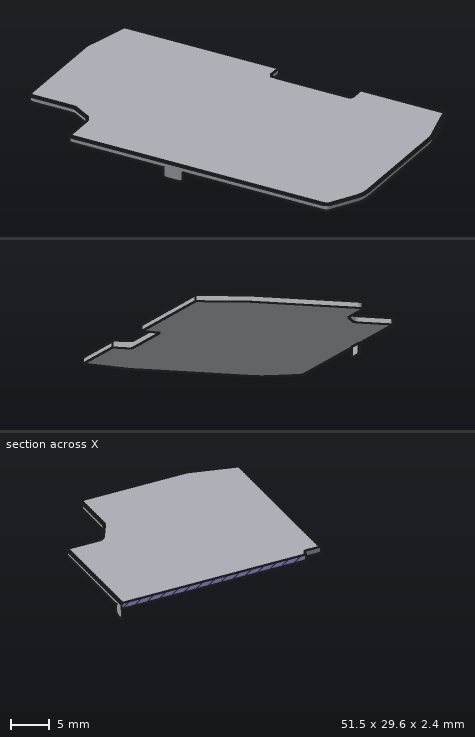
import cadquery as cq
import math

length = 51.45
width = 29.6
thickness = 1.0
total_height = 2.4
rim_chamfer = 0.15

taper_inset = 1.8
taper_height = 6.9

notch_left = 24.9
notch_right = 37.1
notch_depth = 2.6
notch_radius = 0.5

ledge_y = 7.15
ledge_end_x = 7.0
step_x = 10.1
step_slope = math.radians(30)
slope_end_y = ledge_y - (step_x - ledge_end_x) * math.tan(step_slope)
ledge_corner_radius = 0.95
ledge_end_radius = 1.05
slope_end_radius = 1.05
step_foot_radius = 0.4

bevel_x = 2.85
bevel_y = bevel_x * math.tan(math.radians(60))
bevel_lower_radius = 1.05
bevel_upper_radius = 4.65

tab_left = 24.2
tab_width = 2.95
tab_thickness = 0.2
tab_radius = 0.45


def round_corner(body, x, y, radius):
    """Round the upright plate edge that stands at (x, y)."""
    edge = cq.selectors.NearestToPointSelector((x, y, thickness / 2))
    return body.edges("|Z").edges(edge).fillet(radius)


def make_plate():
    """Plate outline with rounded corners and a chamfered upper rim."""
    outline = [
        (step_x, 0),
        (length - bevel_x, 0),
        (length, bevel_y),
        (length, width - taper_height),
        (length - taper_inset, width),
        (taper_inset, width),
        (0, width - taper_height),
        (0, ledge_y),
        (ledge_end_x, ledge_y),
        (step_x, slope_end_y),
    ]
    rounded_corners = [
        (step_x, 0, step_foot_radius),
        (length - bevel_x, 0, bevel_lower_radius),
        (length, bevel_y, bevel_upper_radius),
        (0, ledge_y, ledge_corner_radius),
        (ledge_end_x, ledge_y, ledge_end_radius),
        (step_x, slope_end_y, slope_end_radius),
    ]
    plate = cq.Workplane("XY").polyline(outline).close().extrude(thickness)
    for x, y, radius in rounded_corners:
        plate = round_corner(plate, x, y, radius)
    return plate.faces(">Z").chamfer(rim_chamfer)


def make_notch():
    """Cutter for the back notch, with its inner corners rounded."""
    return (
        cq.Workplane("XY")
        .box(notch_right - notch_left, notch_depth, thickness, centered=False)
        .edges("|Z and <Y")
        .fillet(notch_radius)
        .translate((notch_left, width - notch_depth, 0))
    )


def make_tab():
    """Latch tab flush with the front edge, with rounded lower corners."""
    drop = total_height - thickness
    return (
        cq.Workplane("XY")
        .box(tab_width, tab_thickness, drop, centered=False)
        .edges("|Y and <Z")
        .fillet(tab_radius)
        .translate((tab_left, 0, -drop))
    )


result = make_plate().cut(make_notch()).union(make_tab())